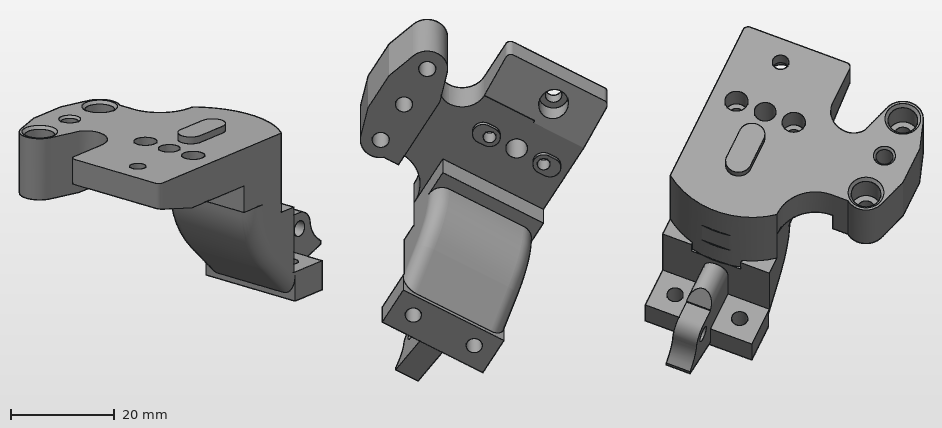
import cadquery as cq
import math


half_width = 11.2
plate_thickness = 7.65
front_y = -16.35
front_corner_radius = 1.05
front_edge_height = 5.2
bevel_length = 9.8
back_arc_radius = 17.8
back_arc_apex_y = 24.25

arm_left_x = -30.65
arm_flat_half_length = 4.05
arm_right_x = -19.3
arm_depth = 12.6
arm_back_y = 12.05
post_x = -25.0
post_y = 9.0
post_radius = 3.95
back_inner_radius = 7.95
notch_radius = 4.95
notch_end_radius = 3.6
notch_apex_x = -half_width - notch_radius
notch_apex_y = -2.05
notch_left_y = -3.9

key_width = 5.0
key_height = 1.4
key_front_y = 3.95
key_back_y = 15.5
pad_width = 4.2
pad_stretch = 1.4
pad_height = 0.9

pivot_diameter = 4.2
side_hole_x = 6.0
side_hole_diameter = 2.5
side_bore_diameter = 4.5
side_bore_depth = 4.7
bevel_hole = (1.65, -11.4)
bevel_hole_diameter = 3.2
large_bore_diameter = 5.7
bevel_bore_depth = 2.35
arm_hole_diameter = 3.3
post_bore_depth = 5.9
post_bore_chamfer = 0.6
arm_hole_chamfer = 0.5
mount_hole_diameter = 3.1
mount_hole_x = 6.75
mount_hole_y = 28.2

block_front_y = 9.05
block_bottom_z = -13.1
wall_front_y = 11.6
wall_back_y = 24.0
wall_bend_start_z = -13.5
wall_bend_radius = 20.3
wall_edge_radius = 2.95
ledge_z = -16.3
step_z = -18.7
step_half_width = 5.2

foot_front_y = 24.35
foot_back_y = 32.55
foot_top_z = -29.8
foot_bottom_z = -35.8
tongue_width = 5.0
tongue_tip_y = front_y + 58.85
ridge_axis_z = -22.7
tongue_hole_y = 36.05
tongue_hole_z = -26.3
tongue_nose_radius = 3.3
tongue_hollow_mid = (40.2, -28.35)
tongue_hollow_end = (42.0, -30.25)
tongue_tip_top_z = -30.6
tongue_tip_bottom_z = -31.35
tongue_root_z = -34.85


def box(x_min, x_max, y_min, y_max, z_min, z_max):
    size = (x_max - x_min, y_max - y_min, z_max - z_min)
    return cq.Workplane("XY").box(*size, centered=False).translate((x_min, y_min, z_min))


def cylinder(x, y, diameter, z_min, z_max):
    return cq.Workplane("XY", origin=(x, y, z_min)).circle(diameter / 2).extrude(z_max - z_min)


def side_profile():
    """YZ sketch plane, extruded symmetrically about X = 0."""
    return cq.Workplane("YZ")


def back_cylinder(z_min):
    center_y = back_arc_apex_y - back_arc_radius
    return cylinder(0, center_y, 2 * back_arc_radius, z_min, 0)


def make_plate():
    plate = box(-half_width, half_width, front_y, back_arc_apex_y, -plate_thickness, 0)
    plate = plate.edges("|Z and <Y").fillet(front_corner_radius)
    bevel = (
        side_profile()
        .moveTo(front_y, -front_edge_height)
        .lineTo(front_y + bevel_length, -plate_thickness)
        .lineTo(front_y, -plate_thickness)
        .close()
        .extrude(half_width, both=True)
    )
    return plate.cut(bevel)


def tangent_point(corner_x, corner_y, side):
    """Point where a line from the corner touches the front post; side picks left (-1) or right (1)."""
    dx = corner_x - post_x
    dy = corner_y + post_y
    swing = math.acos(post_radius / math.hypot(dx, dy))
    angle = math.atan2(dy, dx) - side * swing
    return post_x + post_radius * math.cos(angle), -post_y + post_radius * math.sin(angle)


def make_arm():
    left_x, left_y = tangent_point(arm_left_x, -arm_flat_half_length, -1)
    right_x, right_y = tangent_point(arm_right_x, notch_left_y, 1)
    back_x = post_x + math.sqrt(post_radius**2 - (arm_back_y - post_y) ** 2)
    notch_bend = notch_radius * math.sqrt(0.5)
    notch_center_y = notch_apex_y - notch_radius
    end_half_angle = math.asin((notch_apex_x - arm_right_x) / notch_end_radius) / 2
    notch_end_mid = (
        notch_apex_x - notch_end_radius * math.sin(end_half_angle),
        notch_apex_y - notch_end_radius * (1 - math.cos(end_half_angle)),
    )
    inner_bend = back_inner_radius * math.sqrt(0.5)
    inner_center = (-half_width - back_inner_radius, arm_back_y + back_inner_radius)
    web = (
        cq.Workplane("XY")
        .moveTo(arm_left_x, arm_flat_half_length)
        .lineTo(arm_left_x, -arm_flat_half_length)
        .lineTo(left_x, left_y)
        .threePointArc((post_x, -post_y - post_radius), (right_x, right_y))
        .lineTo(arm_right_x, notch_left_y)
        .threePointArc(notch_end_mid, (notch_apex_x, notch_apex_y))
        .threePointArc(
            (notch_apex_x + notch_bend, notch_center_y + notch_bend), (-half_width, notch_center_y)
        )
        .lineTo(0, notch_center_y)
        .lineTo(0, inner_center[1])
        .lineTo(-half_width, inner_center[1])
        .threePointArc(
            (inner_center[0] + inner_bend, inner_center[1] - inner_bend), (inner_center[0], arm_back_y)
        )
        .lineTo(back_x, arm_back_y)
        .threePointArc((post_x, post_y + post_radius), (left_x, -left_y))
        .close()
    )
    full = web.extrude(-arm_depth)
    far_y = post_y + 2 * post_radius
    thick = full.intersect(box(arm_left_x, arm_right_x, -far_y, far_y, -arm_depth, 0))
    thin = full.intersect(box(arm_left_x, 0, -far_y, 2 * far_y, -plate_thickness, 0))
    return thick.union(thin)


def make_key():
    length = key_back_y - key_front_y
    center_y = (key_back_y + key_front_y) / 2
    return cq.Workplane("XY", origin=(0, center_y, 0)).slot2D(length, key_width, 90).extrude(key_height)


def make_pad(side):
    center_x = side * (side_hole_x + pad_stretch / 2)
    pad = cq.Workplane("XY", origin=(center_x, 0, -plate_thickness))
    return pad.slot2D(pad_stretch + pad_width, pad_width).extrude(-pad_height)


def make_wall():
    bend = math.sqrt(0.5)
    bend_end_y = wall_front_y + wall_bend_radius * (1 - bend)
    bend_end_z = wall_bend_start_z - wall_bend_radius * bend
    mid_angle = math.pi / 8
    bend_mid = (
        wall_front_y + wall_bend_radius * (1 - math.cos(mid_angle)),
        wall_bend_start_z - wall_bend_radius * math.sin(mid_angle),
    )
    slope_end_z = bend_end_z - (foot_front_y - bend_end_y)
    wall = (
        side_profile()
        .moveTo(wall_front_y, block_bottom_z)
        .lineTo(wall_front_y, wall_bend_start_z)
        .threePointArc(bend_mid, (bend_end_y, bend_end_z))
        .lineTo(foot_front_y, slope_end_z)
        .lineTo(foot_front_y, foot_top_z)
        .lineTo(wall_back_y, foot_top_z)
        .lineTo(wall_back_y, block_bottom_z)
        .close()
        .extrude(half_width, both=True)
    )
    for side in (-1, 1):
        point = (side * half_width, *bend_mid)
        wall = wall.edges(cq.selectors.NearestToPointSelector(point)).fillet(wall_edge_radius)
    return wall


def round_back(body):
    """Trim the upper back to the arc, one step deeper in the middle."""
    center_y = back_arc_apex_y - back_arc_radius
    for half, bottom_z in ((half_width, ledge_z), (step_half_width, step_z)):
        strip = box(-half, half, center_y, foot_back_y, bottom_z, 0)
        body = body.cut(strip.cut(back_cylinder(bottom_z)))
    crown_front_y = wall_back_y - wall_edge_radius
    crown = box(-step_half_width, step_half_width, crown_front_y, back_arc_apex_y, step_z, block_bottom_z)
    return body.union(crown.intersect(back_cylinder(step_z)))


def make_tongue():
    top_z = tongue_hole_z + tongue_nose_radius
    bend = tongue_nose_radius * math.sqrt(0.5)
    plate = (
        side_profile()
        .moveTo(wall_back_y, top_z)
        .lineTo(tongue_hole_y, top_z)
        .threePointArc(
            (tongue_hole_y + bend, tongue_hole_z + bend),
            (tongue_hole_y + tongue_nose_radius, tongue_hole_z),
        )
        .threePointArc(tongue_hollow_mid, tongue_hollow_end)
        .lineTo(tongue_tip_y, tongue_tip_top_z)
        .lineTo(tongue_tip_y, tongue_tip_bottom_z)
        .lineTo(foot_back_y, tongue_root_z)
        .lineTo(foot_front_y, tongue_root_z)
        .lineTo(foot_front_y, foot_top_z)
        .lineTo(wall_back_y, foot_top_z)
        .close()
        .extrude(tongue_width / 2, both=True)
    )
    hole = side_profile().center(tongue_hole_y, tongue_hole_z).circle(mount_hole_diameter / 2)
    return plate.cut(hole.extrude(tongue_width, both=True))


def make_ridge():
    radius = tongue_width / 2
    length = foot_back_y - wall_back_y
    ridge = cq.Workplane("XZ", origin=(0, foot_back_y, ridge_axis_z)).circle(radius).extrude(length)
    end_cut = (
        side_profile()
        .moveTo(foot_back_y, ridge_axis_z)
        .lineTo(foot_back_y, ridge_axis_z + radius)
        .lineTo(foot_back_y - radius, ridge_axis_z + radius)
        .close()
        .extrude(radius, both=True)
    )
    upper_half = box(-radius, radius, wall_back_y, foot_back_y, ridge_axis_z, ridge_axis_z + radius)
    tongue_top_z = tongue_hole_z + tongue_nose_radius
    base = box(-radius, radius, wall_back_y, foot_back_y, tongue_top_z, ridge_axis_z)
    return ridge.cut(end_cut).intersect(upper_half).union(base)


def countersink(x, y, diameter, size):
    sketch = cq.Workplane("XY", origin=(x, y, 0)).circle(diameter / 2 + size)
    return sketch.workplane(offset=-size).circle(diameter / 2).loft()


def cut_holes(body):
    pad_bottom = -plate_thickness - pad_height
    body = body.cut(cylinder(0, 0, pivot_diameter, -plate_thickness, 0))
    for side in (-1, 1):
        x = side * side_hole_x
        body = body.cut(cylinder(x, 0, side_hole_diameter, pad_bottom, 0))
        body = body.cut(cylinder(x, 0, side_bore_diameter, -side_bore_depth, 0))
        mount = cylinder(side * mount_hole_x, mount_hole_y, mount_hole_diameter, foot_bottom_z, foot_top_z)
        body = body.cut(mount)

        y = side * post_y
        body = body.cut(cylinder(post_x, y, arm_hole_diameter, -arm_depth, 0))
        body = body.cut(cylinder(post_x, y, large_bore_diameter, -post_bore_depth, 0))
        body = body.cut(countersink(post_x, y, large_bore_diameter, post_bore_chamfer))
    body = body.cut(cylinder(post_x, 0, arm_hole_diameter, -arm_depth, 0))
    body = body.cut(countersink(post_x, 0, arm_hole_diameter, arm_hole_chamfer))

    body = body.cut(cylinder(*bevel_hole, bevel_hole_diameter, -plate_thickness, 0))
    bore_top = -front_edge_height + bevel_bore_depth
    return body.cut(cylinder(*bevel_hole, large_bore_diameter, -plate_thickness, bore_top))


block = box(-half_width, half_width, block_front_y, wall_back_y, block_bottom_z, -plate_thickness)
foot = box(-half_width, half_width, foot_front_y, foot_back_y, foot_bottom_z, foot_top_z)

result = make_plate().union(block).union(make_wall())
result = round_back(result)
result = result.union(foot).union(make_tongue()).union(make_ridge())
result = result.union(make_arm()).union(make_key())
for pad_side in (-1, 1):
    result = result.union(make_pad(pad_side))
result = cut_holes(result)